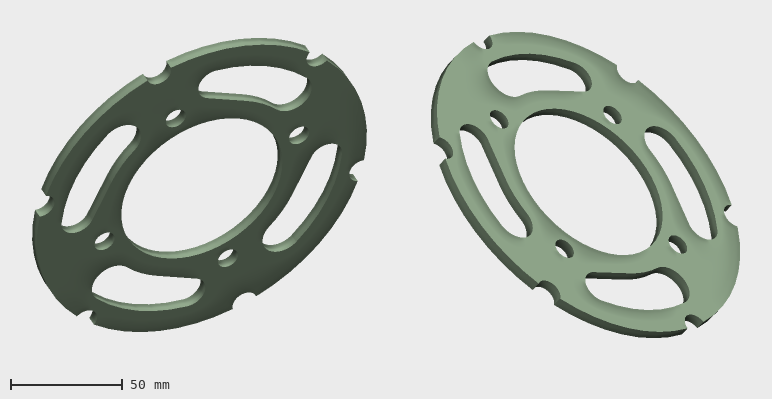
import cadquery as cq
import math

outer_diameter = 164.0
thickness = 5.0
bore_diameter = 80.0

bolt_count = 4
bolt_circle_diameter = 100.0
bolt_hole_diameter = 10.0
bolt_start_angle = 15.0

notch_count = 6
notch_diameter = 12.0
notch_start_angle = 45.0

slot_count = 4
slot_outer_radius = 70.0
slot_inner_radius = bolt_circle_diameter / 2
slot_wide_radius = (slot_outer_radius - slot_inner_radius) / 2
slot_narrow_radius = 8.0
slot_wide_angle = 42.0
slot_narrow_angle = 84.2


def polar(radius, angle):
    """Point in the YZ plane at a radius and an angle in degrees."""
    return radius * math.cos(math.radians(angle)), radius * math.sin(math.radians(angle))


def offset(center, radius, angle):
    """Point at a radius and angle from a given center."""
    dy, dz = polar(radius, angle)
    return center[0] + dy, center[1] + dz


def round_cutters(count, circle_radius, diameter, start_angle):
    """Cylinders evenly spaced around the X axis."""
    centers = [polar(circle_radius, start_angle + i * 360 / count) for i in range(count)]
    return cq.Workplane("YZ").pushPoints(centers).circle(diameter / 2).extrude(thickness / 2, both=True)


def slot_cutter():
    """Slot with an inner edge that follows an arc, then runs straight to the narrow end."""
    wide_center_radius = slot_outer_radius - slot_wide_radius
    narrow_center_radius = slot_outer_radius - slot_narrow_radius
    wide_center = polar(wide_center_radius, slot_wide_angle)
    narrow_center = polar(narrow_center_radius, slot_narrow_angle)

    tangent_ratio = (slot_inner_radius + slot_narrow_radius) / narrow_center_radius
    tangent_angle = slot_narrow_angle - math.degrees(math.acos(tangent_ratio))
    narrow_mid_angle = (slot_narrow_angle + tangent_angle + 180) / 2

    return (
        cq.Workplane("YZ")
        .moveTo(*polar(slot_outer_radius, slot_wide_angle))
        .threePointArc(
            polar(slot_outer_radius, (slot_wide_angle + slot_narrow_angle) / 2),
            polar(slot_outer_radius, slot_narrow_angle),
        )
        .threePointArc(
            offset(narrow_center, slot_narrow_radius, narrow_mid_angle),
            offset(narrow_center, slot_narrow_radius, tangent_angle + 180),
        )
        .lineTo(*polar(slot_inner_radius, tangent_angle))
        .threePointArc(
            polar(slot_inner_radius, (slot_wide_angle + tangent_angle) / 2),
            polar(slot_inner_radius, slot_wide_angle),
        )
        .threePointArc(
            offset(wide_center, slot_wide_radius, slot_wide_angle - 90),
            polar(slot_outer_radius, slot_wide_angle),
        )
        .close()
        .extrude(thickness / 2, both=True)
    )


result = (
    cq.Workplane("YZ")
    .circle(outer_diameter / 2)
    .circle(bore_diameter / 2)
    .extrude(thickness / 2, both=True)
)

result = result.cut(
    round_cutters(bolt_count, bolt_circle_diameter / 2, bolt_hole_diameter, bolt_start_angle)
)
result = result.cut(
    round_cutters(notch_count, outer_diameter / 2, notch_diameter, notch_start_angle)
)

slot = slot_cutter()
for i in range(slot_count):
    result = result.cut(slot.rotate((0, 0, 0), (1, 0, 0), i * 360 / slot_count))